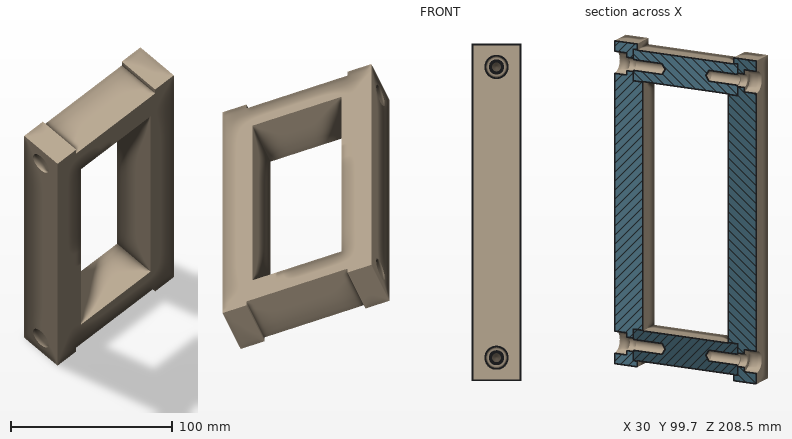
import cadquery as cq
import math

FRAME_LENGTH = 208.5
FRAME_DEPTH = 99.7
FRAME_WIDTH = 30.0

BAR_SIZE = 20.0
LIP_HEIGHT = BAR_SIZE / 5
LIP_THICKNESS = BAR_SIZE - LIP_HEIGHT

NOTCH_DEPTH = BAR_SIZE / 3
RAIL_LENGTH = FRAME_DEPTH - 2 * (BAR_SIZE - NOTCH_DEPTH)
RAIL_HEIGHT = BAR_SIZE
RAIL_CENTRES = [
    LIP_HEIGHT + RAIL_HEIGHT / 2,
    FRAME_LENGTH - LIP_HEIGHT - RAIL_HEIGHT / 2,
]

COUNTERBORE_DIAMETER = 14.0
COUNTERBORE_DEPTH = 8.5
CLEARANCE_DIAMETER = 8.3
TAP_DIAMETER = 6.7
TAP_DEPTH = 20.0
DRILL_POINT_ANGLE = 118.0


def make_upright(side):
    """Upright on the -Y (side = -1) or +Y (side = 1) face of the frame."""
    outer = side * FRAME_DEPTH / 2
    inner_face = outer - side * BAR_SIZE
    lip_face = outer - side * LIP_THICKNESS
    notch_face = outer - side * (BAR_SIZE - NOTCH_DEPTH)
    notch_bottom = LIP_HEIGHT
    notch_top = LIP_HEIGHT + RAIL_HEIGHT

    bar = (
        cq.Workplane("YZ")
        .moveTo(outer, 0)
        .lineTo(lip_face, 0)
        .lineTo(lip_face, notch_bottom)
        .lineTo(notch_face, notch_bottom)
        .lineTo(notch_face, notch_top)
        .lineTo(inner_face, notch_top)
        .lineTo(inner_face, FRAME_LENGTH - notch_top)
        .lineTo(notch_face, FRAME_LENGTH - notch_top)
        .lineTo(notch_face, FRAME_LENGTH - notch_bottom)
        .lineTo(lip_face, FRAME_LENGTH - notch_bottom)
        .lineTo(lip_face, FRAME_LENGTH)
        .lineTo(outer, FRAME_LENGTH)
        .close()
        .extrude(FRAME_WIDTH / 2, both=True)
    )
    inward = cq.Vector(0, -side, 0)
    for height in RAIL_CENTRES:
        mouth = cq.Vector(0, outer, height)
        counterbore = cq.Solid.makeCylinder(COUNTERBORE_DIAMETER / 2, COUNTERBORE_DEPTH, mouth, inward)
        clearance = cq.Solid.makeCylinder(CLEARANCE_DIAMETER / 2, BAR_SIZE, mouth, inward)
        bar = bar.cut(cq.Workplane(counterbore)).cut(cq.Workplane(clearance))
    return bar


def make_tapped_hole(end_y, side, height):
    """Blind hole with a drill point, running inward from one end of a rail."""
    inward = cq.Vector(0, -side, 0)
    mouth = cq.Vector(0, end_y, height)
    radius = TAP_DIAMETER / 2
    point_depth = radius / math.tan(math.radians(DRILL_POINT_ANGLE / 2))
    bore = cq.Solid.makeCylinder(radius, TAP_DEPTH, mouth, inward)
    point = cq.Solid.makeCone(radius, 0, point_depth, mouth + inward * TAP_DEPTH, inward)
    return cq.Workplane(bore).union(cq.Workplane(point))


def make_rail(height):
    """Cross rail centred at the given height, threaded at both ends."""
    rail = cq.Workplane("XY").box(FRAME_WIDTH, RAIL_LENGTH, RAIL_HEIGHT).translate((0, 0, height))
    for side in (-1, 1):
        rail = rail.cut(make_tapped_hole(side * RAIL_LENGTH / 2, side, height))
    return rail


uprights = [make_upright(side) for side in (-1, 1)]
rails = [make_rail(height) for height in RAIL_CENTRES]

result = cq.Compound.makeCompound([body.val() for body in uprights + rails])